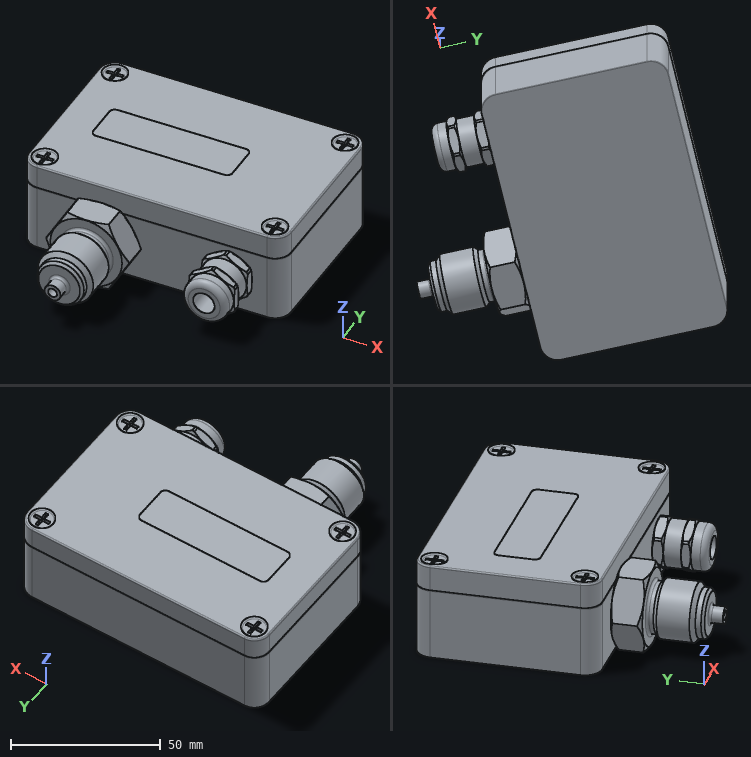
import cadquery as cq
import math

BOX_LENGTH = 98.0
BOX_WIDTH = 64.0
BOX_HEIGHT = 34.0
PARTING_HEIGHT = 25.0
CORNER_RADIUS = 6.0
RIM_FILLET = 0.5
SEAM_FILLET = 0.2
FRONT_FACE_Y = -BOX_WIDTH / 2

SEAT_DIAMETER = 9.0
SEAT_DEPTH = 0.5
CROSS_LENGTH = 6.0
CROSS_WIDTH = 1.1
CROSS_DEPTH = 1.5

LABEL_LENGTH = 52.0
LABEL_WIDTH = 16.0
LABEL_RADIUS = 2.0
LABEL_DEPTH = 0.1
LABEL_CENTER_X = -9.0

HEX_CHAMFER_ANGLE = math.radians(30)

PORT_X = -19.0
PORT_HEX_FLATS = 27.0
PORT_Z = PORT_HEX_FLATS / 2
PORT_HEX_FACE_DIAMETER = 26.8
PORT_HEX_END = 11.0
NECK_DIAMETER = 18.0
NECK_FILLET = 1.0
THREAD_DIAMETER = 20.8
THREAD_START = 15.0
THREAD_END = 26.4
COLLAR_DIAMETER = 17.5
COLLAR_END = 31.0
COLLAR_CHAMFER = 1.0
TIP_DIAMETER = 6.0
TIP_FILLET = 1.0
TIP_END = 36.0
PORT_BORE = 3.3

GLAND_X = 29.0
GLAND_Z = 14.0
GLAND_DIAMETER = 16.7
GLAND_END = 19.0
GLAND_END_FILLET = 2.4
GLAND_BORE = 8.0
GLAND_HEX_FLATS = 17.0
GLAND_HEX_CORNER_DIAMETER = 19.1
GLAND_HEX_FACE_DIAMETER = GLAND_DIAMETER
GLAND_LOCK_HEX_LENGTH = 4.0
GLAND_CAP_HEX_START = 10.0
GLAND_CAP_HEX_LENGTH = 3.5


def turned(profile):
    """Revolve a closed profile, drawn as (radius, -depth), about its vertical axis."""
    return profile.close().revolve(360, (0, 0, 0), (0, 1, 0))


def rounded_block(z_bottom, height):
    """Block with the enclosure's footprint and rounded vertical corners."""
    return (
        cq.Workplane("XY", origin=(0, 0, z_bottom))
        .rect(BOX_LENGTH, BOX_WIDTH)
        .extrude(height)
        .edges("|Z")
        .fillet(CORNER_RADIUS)
    )


def make_base():
    base = rounded_block(0, PARTING_HEIGHT)
    base = base.faces("<Z").edges().fillet(SEAM_FILLET)
    return base.faces(">Z").edges().fillet(SEAM_FILLET)


def screw_seat():
    """Cutter at the lid's center for a seat with a quarter-round wall and a cross slot in its floor."""
    seat_radius = SEAT_DIAMETER / 2
    seat = turned(
        cq.Workplane("XZ")
        .lineTo(seat_radius, 0)
        .radiusArc((seat_radius - SEAT_DEPTH, -SEAT_DEPTH), SEAT_DEPTH)
        .lineTo(0, -SEAT_DEPTH)
    )
    slot_height = SEAT_DEPTH + CROSS_DEPTH
    for length, width in ((CROSS_LENGTH, CROSS_WIDTH), (CROSS_WIDTH, CROSS_LENGTH)):
        seat = seat.union(cq.Workplane("XY").rect(length, width).extrude(-slot_height))
    return seat.translate((0, 0, BOX_HEIGHT))


def make_lid():
    lid = rounded_block(PARTING_HEIGHT, BOX_HEIGHT - PARTING_HEIGHT)
    lid = lid.faces(">Z").edges().fillet(RIM_FILLET)
    lid = lid.faces("<Z").edges().fillet(SEAM_FILLET)

    seat_x = BOX_LENGTH / 2 - CORNER_RADIUS
    seat_y = BOX_WIDTH / 2 - CORNER_RADIUS
    for x in (-seat_x, seat_x):
        for y in (-seat_y, seat_y):
            lid = lid.cut(screw_seat().translate((x, y, 0)))

    label = (
        cq.Workplane("XY", origin=(LABEL_CENTER_X, 0, BOX_HEIGHT - LABEL_DEPTH))
        .rect(LABEL_LENGTH, LABEL_WIDTH)
        .extrude(LABEL_DEPTH)
        .edges("|Z")
        .fillet(LABEL_RADIUS)
    )
    return lid.cut(label)


def chamfered_hex(flats, length, face_diameter, corner_diameter):
    """Hexagon along -Y from Y = 0, corners on +X and -X, turned down at both ends."""
    prism = cq.Workplane("XZ").polygon(6, flats / math.cos(math.pi / 6)).extrude(length)
    face_radius = face_diameter / 2
    corner_radius = corner_diameter / 2
    chamfer_length = (corner_radius - face_radius) * math.tan(HEX_CHAMFER_ANGLE)
    envelope = turned(
        cq.Workplane("XY")
        .lineTo(face_radius, 0)
        .lineTo(corner_radius, -chamfer_length)
        .lineTo(corner_radius, -length + chamfer_length)
        .lineTo(face_radius, -length)
        .lineTo(0, -length)
    )
    return prism.intersect(envelope)


def bore(diameter, length):
    return cq.Workplane("XZ").circle(diameter / 2).extrude(length)


def make_port():
    neck_radius = NECK_DIAMETER / 2
    thread_radius = THREAD_DIAMETER / 2
    collar_radius = COLLAR_DIAMETER / 2
    tip_radius = TIP_DIAMETER / 2
    neck_end = THREAD_START - (thread_radius - neck_radius)
    collar_start = THREAD_END + (thread_radius - collar_radius)

    stem = turned(
        cq.Workplane("XY")
        .lineTo(neck_radius + NECK_FILLET, 0)
        .lineTo(neck_radius + NECK_FILLET, -PORT_HEX_END)
        .radiusArc((neck_radius, -PORT_HEX_END - NECK_FILLET), -NECK_FILLET)
        .lineTo(neck_radius, -neck_end)
        .lineTo(thread_radius, -THREAD_START)
        .lineTo(thread_radius, -THREAD_END)
        .lineTo(collar_radius, -collar_start)
        .lineTo(collar_radius, -COLLAR_END + COLLAR_CHAMFER)
        .lineTo(collar_radius - COLLAR_CHAMFER, -COLLAR_END)
        .lineTo(tip_radius + TIP_FILLET, -COLLAR_END)
        .radiusArc((tip_radius, -COLLAR_END - TIP_FILLET), -TIP_FILLET)
        .lineTo(tip_radius, -TIP_END)
        .lineTo(0, -TIP_END)
    )
    sharp_corner_diameter = PORT_HEX_FLATS / math.cos(math.pi / 6)
    hexagon = chamfered_hex(
        PORT_HEX_FLATS, PORT_HEX_END, PORT_HEX_FACE_DIAMETER, sharp_corner_diameter
    )
    port = hexagon.union(stem).cut(bore(PORT_BORE, TIP_END))
    return port.translate((PORT_X, FRONT_FACE_Y, PORT_Z))


def gland_hex(start, length):
    """Gland hexagon with its corners up and down, beginning at the given station."""
    hexagon = chamfered_hex(
        GLAND_HEX_FLATS, length, GLAND_HEX_FACE_DIAMETER, GLAND_HEX_CORNER_DIAMETER
    )
    return hexagon.rotate((0, 0, 0), (0, 1, 0), 90).translate((0, -start, 0))


def make_gland():
    barrel = (
        cq.Workplane("XZ")
        .circle(GLAND_DIAMETER / 2)
        .extrude(GLAND_END)
        .faces("<Y")
        .edges()
        .fillet(GLAND_END_FILLET)
    )
    gland = (
        barrel.union(gland_hex(0, GLAND_LOCK_HEX_LENGTH))
        .union(gland_hex(GLAND_CAP_HEX_START, GLAND_CAP_HEX_LENGTH))
        .cut(bore(GLAND_BORE, GLAND_END))
    )
    return gland.translate((GLAND_X, FRONT_FACE_Y, GLAND_Z))


base = make_base()
lid = make_lid()
port = make_port()
gland = make_gland()

result = cq.Compound.makeCompound([base.val(), lid.val(), port.val(), gland.val()])